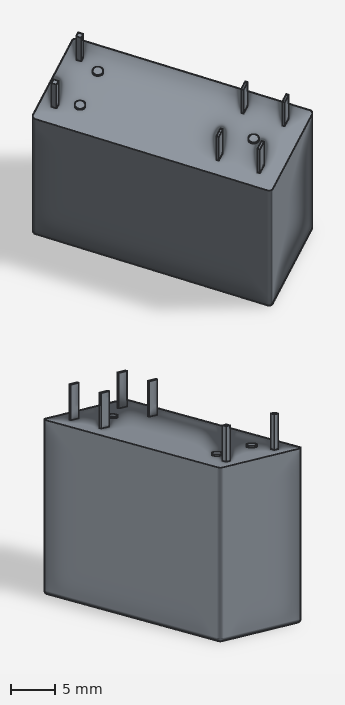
import cadquery as cq

case_length = 29.2
case_width = 12.8
total_height = 24.6
pin_height = 4.15
case_height = total_height - pin_height
edge_radius = 0.5

row_offset = 3.75
coil_pin_x = -12.8
coil_pin_side = 0.6
blade_pitch = 5.0
first_blade_x = 7.25
blade_thickness = 0.3
blade_width = 1.25

standoff_radius = 0.6
standoff_height = 0.2
standoff_pair_x = -10.15
standoff_pair_offset = 2.7
single_standoff_x = 9.87


def make_case():
    """Block with rounded upright edges and a rounded base rim."""
    block = cq.Workplane("XY").box(case_length, case_width, case_height, centered=(True, True, False))
    return block.edges("|Z or <Z").fillet(edge_radius)


def on_terminal_face(points):
    return cq.Workplane("XY").workplane(offset=case_height).pushPoints(points)


def across_rows(x):
    return [(x, -row_offset), (x, row_offset)]


coil_pins = on_terminal_face(across_rows(coil_pin_x)).rect(coil_pin_side, coil_pin_side).extrude(pin_height)

blade_points = across_rows(first_blade_x) + across_rows(first_blade_x + blade_pitch)
blades = on_terminal_face(blade_points).rect(blade_thickness, blade_width).extrude(pin_height)

standoff_points = [
    (standoff_pair_x, -standoff_pair_offset),
    (standoff_pair_x, standoff_pair_offset),
    (single_standoff_x, 0),
]
standoffs = on_terminal_face(standoff_points).circle(standoff_radius).extrude(standoff_height)

result = make_case().union(coil_pins).union(blades).union(standoffs)